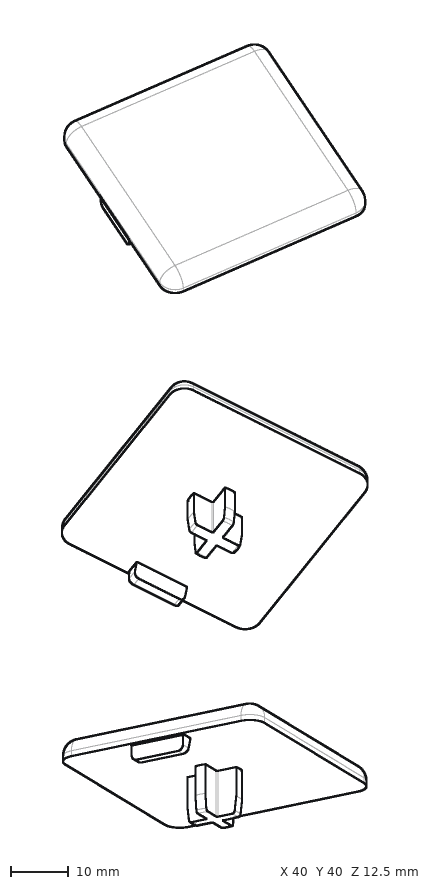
import cadquery as cq

plate_side = 40.0
plate_thickness = 4.0
edge_radius = 3.0

total_height = 12.5
stem_length = total_height - plate_thickness
stem_radius = 5.0
stem_tip_radius = 4.65
stem_taper_start = 5.4
stem_tip_fillet = 0.5
rib_thickness = 2.0
rib_root_fillet = 0.2

tab_width = 10.3
tab_height = 3.0
tab_face_inset = 0.35
tab_root_depth = 2.6
tab_tip_depth = 1.65
tab_corner_radius = 1.0
tab_lip = 0.2


def make_plate():
    """Square plate with rounded corners and an equally rounded top edge."""
    block = cq.Workplane("XY").box(
        plate_side, plate_side, plate_thickness, centered=(True, True, False)
    )
    return block.edges("|Z").fillet(edge_radius).faces(">Z").edges().fillet(edge_radius)


def make_stem():
    """Two crossed ribs, trimmed to a turned envelope with a tapered tip."""
    bar_x = cq.Workplane("XY").box(
        2 * plate_side, rib_thickness, stem_length, centered=(True, True, False)
    )
    bar_y = bar_x.rotate((0, 0, 0), (0, 0, 1), 90)
    cross = bar_x.union(bar_y).translate((0, 0, -stem_length))
    half_rib = rib_thickness / 2
    root_box = cq.selectors.BoxSelector(
        (-half_rib - 0.4, -half_rib - 0.4, -stem_length),
        (half_rib + 0.4, half_rib + 0.4, 0),
    )
    cross = cross.edges("|Z").edges(root_box).fillet(rib_root_fillet)
    envelope = (
        cq.Workplane("XZ")
        .moveTo(0, 0)
        .lineTo(stem_radius, 0)
        .lineTo(stem_radius, -stem_taper_start)
        .lineTo(stem_tip_radius, -stem_length)
        .lineTo(0, -stem_length)
        .close()
        .revolve(360, (0, 0, 0), (0, 1, 0))
        .faces("<Z")
        .edges()
        .fillet(stem_tip_fillet)
    )
    return cross.intersect(envelope)


def make_tab():
    """Wedge-shaped tab with rounded lower corners and a small lip at its outer root."""
    face_y = -plate_side / 2 + tab_face_inset
    tab = (
        cq.Workplane("YZ")
        .moveTo(face_y - tab_lip, 0)
        .lineTo(face_y + tab_root_depth, 0)
        .lineTo(face_y + tab_tip_depth, -tab_height)
        .lineTo(face_y, -tab_height)
        .lineTo(face_y, -tab_lip)
        .lineTo(face_y - tab_lip, -tab_lip)
        .close()
        .extrude(tab_width / 2, both=True)
    )
    outline = (
        cq.Workplane("XY")
        .box(tab_width, plate_side, 2 * tab_height)
        .edges("|Y and <Z")
        .fillet(tab_corner_radius)
    )
    return tab.intersect(outline)


result = make_plate().union(make_stem()).union(make_tab())